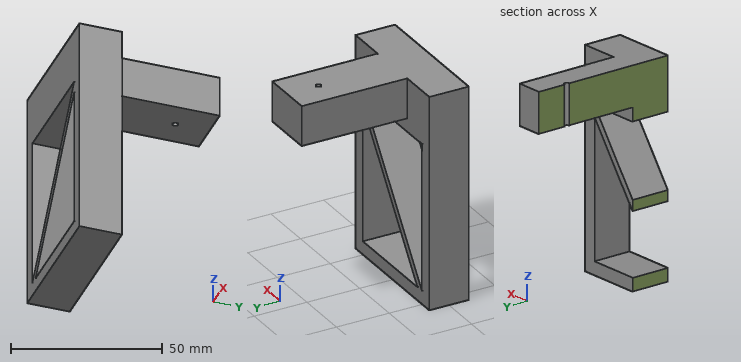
import cadquery as cq

frame_width = 50.0
frame_depth = 15.0
frame_height = 80.0

wall = 5.0
header_height = 20.0
window_left = wall
window_right = frame_width - wall
window_bottom = wall
window_top = frame_height - header_height

brace_width = 3.0
brace_drop = brace_width * (window_top - window_bottom) / (window_right - window_left)

arm_width = 20.0
arm_length = 40.0
arm_thickness = 15.0

hole_diameter = 1.91
hole_to_arm_end = 12.0


def make_frame():
    return cq.Workplane("XY").box(frame_width, frame_depth, frame_height, centered=False)


def make_arm():
    arm = cq.Workplane("XY").box(arm_width, arm_length, arm_thickness, centered=False)
    arm_left = (frame_width - arm_width) / 2
    return arm.translate((arm_left, frame_depth, frame_height - arm_thickness))


def make_opening(corners):
    """Prism through the frame depth, from (x, z) corners."""
    return cq.Workplane("XZ").polyline(corners).close().extrude(-frame_depth)


def make_window():
    above_brace = make_opening([
        (window_left, window_bottom),
        (window_right, window_top),
        (window_left, window_top),
    ])
    below_brace = make_opening([
        (window_left + brace_width, window_bottom),
        (window_right, window_bottom),
        (window_right, window_top - brace_drop),
    ])
    return above_brace.union(below_brace)


def make_arm_hole():
    hole_y = frame_depth + arm_length - hole_to_arm_end
    hole = cq.Workplane("XY").circle(hole_diameter / 2).extrude(frame_height)
    return hole.translate((frame_width / 2, hole_y, 0))


result = make_frame().union(make_arm()).cut(make_window()).cut(make_arm_hole())